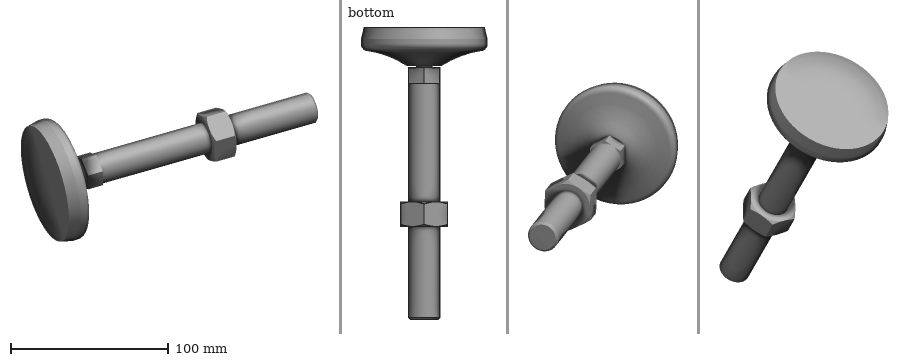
import cadquery as cq
import math

TOTAL_LENGTH = 186.0

FOOT_DIAMETER = 80.0
UNDERSIDE_DIAMETER = 76.5
BAND_BOTTOM = 7.5
BAND_TOP = 10.6
FOOT_HEIGHT = 24.4
FOOT_TOP_DIAMETER = 21.5
RIM_INNER_RADIUS = 36.5
RIM_TOP = 14.7

STUD_DIAMETER = 20.0
STUD_CHAMFER = 1.5
NECK_DIAMETER = STUD_DIAMETER / 2
WRENCH_HEX_BOTTOM = 25.7
WRENCH_HEX_LENGTH = 10.2
WRENCH_HEX_FLATS = STUD_DIAMETER

NUT_BOTTOM = 111.0
NUT_LENGTH = 15.6
NUT_FLATS = 30.0
NUT_CHAMFER_ANGLE = 30.0


def plane_at(height):
    """Plane across the axis; local x is X and the normal is +Y."""
    return cq.Plane(origin=(0, height, 0), xDir=(1, 0, 0), normal=(0, 1, 0))


def cylinder(diameter, bottom, top):
    return cq.Workplane(plane_at(bottom)).circle(diameter / 2).extrude(top - bottom)


def hexagon(flats, bottom, length):
    """Hexagonal prism with flats facing +X and -X, corners on +Z and -Z."""
    corner_radius = flats / 2 / math.cos(math.radians(30))
    corners = []
    for index in range(6):
        angle = math.radians(30 + 60 * index)
        corners.append((corner_radius * math.cos(angle), corner_radius * math.sin(angle)))
    return cq.Workplane(plane_at(bottom)).polyline(corners).close().extrude(length)


def revolve_about_axis(profile):
    return profile.close().revolve(360, (0, 0, 0), (0, 1, 0))


def make_foot():
    rim_radius = FOOT_DIAMETER / 2
    profile = (
        cq.Workplane("XY")
        .lineTo(UNDERSIDE_DIAMETER / 2, 0)
        .lineTo(rim_radius, BAND_BOTTOM)
        .lineTo(rim_radius, BAND_TOP)
        .tangentArcPoint((RIM_INNER_RADIUS, RIM_TOP), relative=False)
        .tangentArcPoint((FOOT_TOP_DIAMETER / 2, FOOT_HEIGHT), relative=False)
        .lineTo(0, FOOT_HEIGHT)
    )
    return revolve_about_axis(profile)


def make_stud():
    hex_top = WRENCH_HEX_BOTTOM + WRENCH_HEX_LENGTH
    neck = cylinder(NECK_DIAMETER, FOOT_HEIGHT, WRENCH_HEX_BOTTOM)
    wrench_hex = hexagon(WRENCH_HEX_FLATS, WRENCH_HEX_BOTTOM, WRENCH_HEX_LENGTH)
    rod = cylinder(STUD_DIAMETER, hex_top, TOTAL_LENGTH).faces(">Y").chamfer(STUD_CHAMFER)
    return neck.union(wrench_hex).union(rod)


def make_nut():
    """Hex nut whose corners are trimmed by a cone at each end."""
    flat_radius = NUT_FLATS / 2
    outer_radius = NUT_FLATS / math.sqrt(3)
    cone_height = (outer_radius - flat_radius) * math.tan(math.radians(NUT_CHAMFER_ANGLE))
    nut_top = NUT_BOTTOM + NUT_LENGTH
    envelope = (
        cq.Workplane("XY")
        .moveTo(0, NUT_BOTTOM)
        .lineTo(flat_radius, NUT_BOTTOM)
        .lineTo(outer_radius, NUT_BOTTOM + cone_height)
        .lineTo(outer_radius, nut_top - cone_height)
        .lineTo(flat_radius, nut_top)
        .lineTo(0, nut_top)
    )
    return hexagon(NUT_FLATS, NUT_BOTTOM, NUT_LENGTH).intersect(revolve_about_axis(envelope))


result = make_foot().union(make_stud()).union(make_nut())